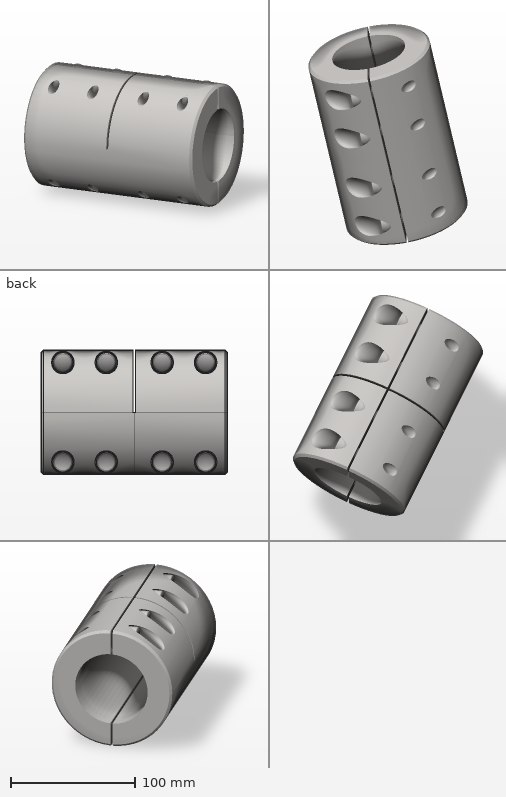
import cadquery as cq


LENGTH = 150.0
OUTER_DIAMETER = 100.0
BORE_DIAMETER = 60.0
END_CHAMFER = 2.0
SPLIT_GAP = 1.8
SLIT_WIDTH = 1.8

SHANK_DIAMETER = 10.0
HEAD_DIAMETER = 16.0
HEAD_LENGTH = SHANK_DIAMETER
HEAD_FILLET = 1.0
SEAT_Y = 7.5
TIP_Y = -21.9
SCREW_Z = 40.0
INNER_SCREW_X = 22.5
SCREW_PITCH = 35.0

COUNTERBORE_DIAMETER = 18.0
EXIT_HOLE_DIAMETER = 8.5

OUTER_RADIUS = OUTER_DIAMETER / 2
OUTER_SCREW_X = INNER_SCREW_X + SCREW_PITCH
SCREW_POSITIONS = [
    (x, z)
    for z in (SCREW_Z, -SCREW_Z)
    for x in (-OUTER_SCREW_X, -INNER_SCREW_X, INNER_SCREW_X, OUTER_SCREW_X)
]


def cylinder_along_y(diameter, start_y, end_y, x, z):
    """Cylinder with its axis parallel to Y, from start_y up to end_y."""
    solid = cq.Solid.makeCylinder(diameter / 2, end_y - start_y, cq.Vector(x, start_y, z), cq.Vector(0, 1, 0))
    return cq.Workplane(obj=solid)


def make_screw(x, z):
    """Cap screw with a plain head, rounded at its outer rim."""
    head = cylinder_along_y(HEAD_DIAMETER, SEAT_Y, SEAT_Y + HEAD_LENGTH, x, z)
    head = head.faces(">Y").edges().fillet(HEAD_FILLET)
    shank = cylinder_along_y(SHANK_DIAMETER, TIP_Y, SEAT_Y, x, z)
    return head.union(shank)


def make_sleeve():
    """Full tube with chamfered outer rims and the mid-length slit."""
    tube = cq.Workplane("YZ").circle(OUTER_RADIUS).extrude(LENGTH / 2, both=True)
    tube = tube.faces("<X or >X").chamfer(END_CHAMFER)
    bore = cq.Workplane("YZ").circle(BORE_DIAMETER / 2).extrude(LENGTH / 2, both=True)
    slit = cq.Workplane("XY").rect(SLIT_WIDTH, OUTER_DIAMETER).extrude(OUTER_RADIUS)
    return tube.cut(bore).cut(slit)


def make_half(side):
    """Half of the sleeve on the +Y (side = 1) or -Y (side = -1) side of the split."""
    width = OUTER_RADIUS - SPLIT_GAP / 2
    center_y = side * (SPLIT_GAP / 2 + width / 2)
    keep = cq.Workplane("XY").box(LENGTH, width, OUTER_DIAMETER).translate((0, center_y, 0))
    return make_sleeve().intersect(keep)


def make_head_half():
    """Half with a shank hole and a counterbore for each screw head."""
    half = make_half(1)
    for x, z in SCREW_POSITIONS:
        half = half.cut(cylinder_along_y(SHANK_DIAMETER, 0, SEAT_Y, x, z))
        half = half.cut(cylinder_along_y(COUNTERBORE_DIAMETER, SEAT_Y, OUTER_RADIUS, x, z))
    return half


def make_threaded_half():
    """Half that takes the shanks, with a smaller hole from each screw tip out to the surface."""
    half = make_half(-1)
    for x, z in SCREW_POSITIONS:
        half = half.cut(cylinder_along_y(SHANK_DIAMETER, TIP_Y, 0, x, z))
        half = half.cut(cylinder_along_y(EXIT_HOLE_DIAMETER, -OUTER_RADIUS, TIP_Y, x, z))
    return half


head_half = make_head_half()
threaded_half = make_threaded_half()
screws = [make_screw(x, z) for x, z in SCREW_POSITIONS]

result = cq.Compound.makeCompound(
    [head_half.val(), threaded_half.val(), *(screw.val() for screw in screws)]
)